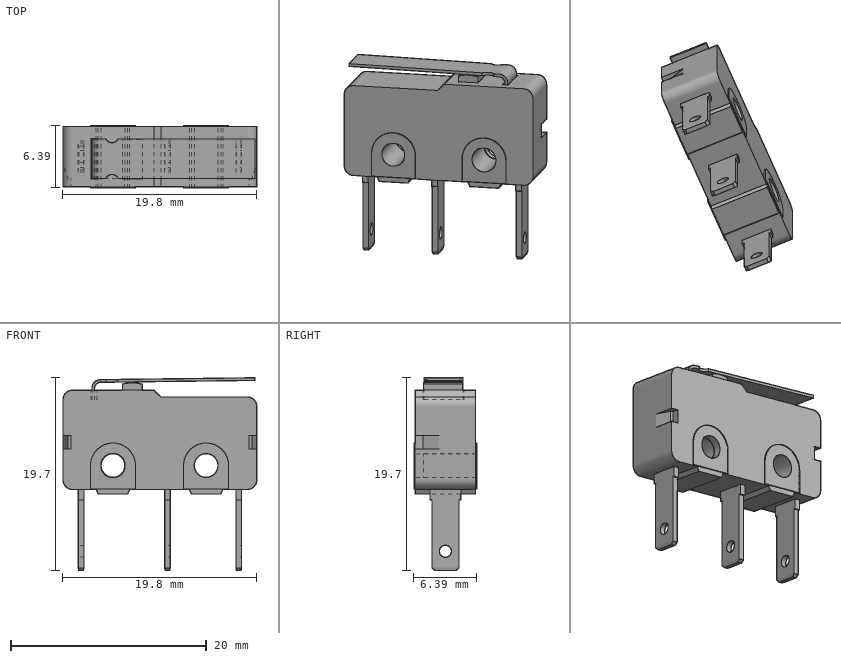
import cadquery as cq
import math


LENGTH = 19.8
WIDTH = 6.15
HEIGHT = 10.15
LOW_HEIGHT = 9.46
RAMP_START = -0.61
RAMP_END = 0.1
CORNER_RADIUS = 0.99
END_X = LENGTH / 2
FRONT_Y = -WIDTH / 2

HOLE_XS = (-4.8, 4.71)
HOLE_Z = 2.45
HOLE_DIAMETER = 2.4
RELIEF_DIAMETER = 2.5
RELIEF_DEPTH = 0.83
PAD_RADIUS = 2.3
PAD_HEIGHT = 0.12
PAD_BOTTOM = 0.05

FOOT_TOP_LENGTH = 3.43
FOOT_BOTTOM_LENGTH = 3.0
FOOT_HEIGHT = 0.48

NOTCH_BOTTOM = 4.14
NOTCH_TOP = 5.55
NOTCH_LENGTH = 0.83
NOTCH_LEDGE_DEPTH = 0.81
NOTCH_RAMP_LENGTH = 0.51
NOTCH_RAMP_DEPTH = 2.44

TERMINAL_XS = (-8.04, 0.77, 8.04)
TERMINAL_THICKNESS = 0.6
TERMINAL_WIDTH = 2.77
TERMINAL_DROP = 8.28
SHOULDER_WIDTH = 3.17
SHOULDER_DROP = 1.05
TIP_LENGTH = 0.3
TIP_SIDE_TAPER = 0.3
TIP_FACE_TAPER = 0.05
TERMINAL_HOLE_DIAMETER = 1.2
TERMINAL_HOLE_RISE = 1.98

LEVER_THICKNESS = 0.3
LEVER_WIDTH = 4.02
LEVER_Y = -0.2
LEVER_LEFT = -6.95
LEVER_RIGHT = 9.68
LEVER_TOP = 11.42
LEVER_TILT = math.radians(0.7)
BEND_OUTER_DIAMETER = 1.8
BEND_OUTER_RADIUS = BEND_OUTER_DIAMETER / 2
BEND_INNER_RADIUS = BEND_OUTER_RADIUS - LEVER_THICKNESS
WAIST_X = -4.9
WAIST_RADIUS = 0.67
WAIST_DEPTH = 0.4

SLOT_LEFT = -7.0
SLOT_RIGHT = -6.42
SLOT_SIDE_GAP = 0.05
SLOT_DEPTH = 0.99

PLUNGER_LEFT = -3.82
PLUNGER_RIGHT = -1.8
PLUNGER_FRONT = -2.25
PLUNGER_WIDTH = 4.0
PLUNGER_SIDE_TOP = 10.77
PLUNGER_CROWN = 10.9


def across(profile, width, center_y=0.0):
    """Extrude an XZ profile across the switch, centred on center_y."""
    return profile.extrude(width / 2, both=True).translate((0, center_y, 0))


def block():
    outline = (
        cq.Workplane("XZ")
        .moveTo(-END_X, 0)
        .lineTo(END_X, 0)
        .lineTo(END_X, LOW_HEIGHT)
        .lineTo(RAMP_END, LOW_HEIGHT)
        .lineTo(RAMP_START, HEIGHT)
        .lineTo(-END_X, HEIGHT)
        .close()
    )
    return across(outline, WIDTH).edges("|Y and (<X or >X)").fillet(CORNER_RADIUS)


def pad(x):
    """Arch-shaped pad that stands out on the front and the back."""
    outline = (
        cq.Workplane("XZ")
        .moveTo(x - PAD_RADIUS, PAD_BOTTOM)
        .lineTo(x + PAD_RADIUS, PAD_BOTTOM)
        .lineTo(x + PAD_RADIUS, HOLE_Z)
        .threePointArc((x, HOLE_Z + PAD_RADIUS), (x - PAD_RADIUS, HOLE_Z))
        .close()
    )
    return across(outline, WIDTH + 2 * PAD_HEIGHT)


def foot(x):
    outline = cq.Workplane("XZ").polyline([
        (x - FOOT_TOP_LENGTH / 2, 0),
        (x - FOOT_BOTTOM_LENGTH / 2, -FOOT_HEIGHT),
        (x + FOOT_BOTTOM_LENGTH / 2, -FOOT_HEIGHT),
        (x + FOOT_TOP_LENGTH / 2, 0),
    ]).close()
    return across(outline, WIDTH)


def mounting_hole(x):
    outline = cq.Workplane("XZ").center(x, HOLE_Z).circle(HOLE_DIAMETER / 2)
    return across(outline, WIDTH + 2 * PAD_HEIGHT)


def hole_relief(x):
    """Wider rear part of a mounting hole, open at the back."""
    start_y = FRONT_Y + RELIEF_DEPTH
    end_y = WIDTH / 2 + PAD_HEIGHT
    return (
        cq.Workplane("XZ", origin=(x, start_y, HOLE_Z))
        .circle(RELIEF_DIAMETER / 2)
        .extrude(start_y - end_y)
    )


def end_notch(side):
    """Notch with a ledge and a ramp; side is -1 for the left end and 1 for the right."""
    wall_x = side * (END_X - NOTCH_LENGTH)
    ramp_x = side * (END_X - NOTCH_RAMP_LENGTH)
    ledge_y = FRONT_Y + NOTCH_LEDGE_DEPTH
    return (
        cq.Workplane("XY", origin=(0, 0, NOTCH_BOTTOM))
        .polyline([
            (side * END_X, FRONT_Y),
            (wall_x, FRONT_Y),
            (wall_x, ledge_y),
            (ramp_x, ledge_y),
            (side * END_X, FRONT_Y + NOTCH_RAMP_DEPTH),
        ])
        .close()
        .extrude(NOTCH_TOP - NOTCH_BOTTOM)
    )


def terminal(x):
    root = cq.Workplane("XY", origin=(x, 0, 0))
    shoulder = root.rect(TERMINAL_THICKNESS, SHOULDER_WIDTH).extrude(-SHOULDER_DROP)
    blade_length = TERMINAL_DROP - TIP_LENGTH
    blade = root.rect(TERMINAL_THICKNESS, TERMINAL_WIDTH).extrude(-blade_length)
    tip = (
        cq.Workplane("XY", origin=(x, 0, -blade_length))
        .rect(TERMINAL_THICKNESS, TERMINAL_WIDTH)
        .workplane(offset=-TIP_LENGTH)
        .rect(TERMINAL_THICKNESS - 2 * TIP_FACE_TAPER, TERMINAL_WIDTH - 2 * TIP_SIDE_TAPER)
        .loft()
    )
    hole = (
        cq.Workplane("YZ", origin=(x, 0, TERMINAL_HOLE_RISE - TERMINAL_DROP))
        .circle(TERMINAL_HOLE_DIAMETER / 2)
        .extrude(TERMINAL_THICKNESS, both=True)
    )
    return shoulder.union(blade).union(tip).cut(hole)


def plunger():
    """Block with a slightly domed top, standing on the housing."""
    outline = (
        cq.Workplane("XZ")
        .moveTo(PLUNGER_LEFT, HEIGHT)
        .lineTo(PLUNGER_RIGHT, HEIGHT)
        .lineTo(PLUNGER_RIGHT, PLUNGER_SIDE_TOP)
        .threePointArc(
            ((PLUNGER_LEFT + PLUNGER_RIGHT) / 2, PLUNGER_CROWN),
            (PLUNGER_LEFT, PLUNGER_SIDE_TOP),
        )
        .close()
    )
    return across(outline, PLUNGER_WIDTH, PLUNGER_FRONT + PLUNGER_WIDTH / 2)


def lever_slot():
    outline = (
        cq.Workplane("XZ")
        .moveTo(SLOT_LEFT, HEIGHT)
        .lineTo(SLOT_RIGHT, HEIGHT)
        .lineTo(SLOT_RIGHT, HEIGHT - SLOT_DEPTH)
        .lineTo(SLOT_LEFT, HEIGHT - SLOT_DEPTH)
        .close()
    )
    return across(outline, LEVER_WIDTH + 2 * SLOT_SIDE_GAP, LEVER_Y)


def make_housing():
    """Switch housing with its terminals and plunger."""
    body = block()
    for x in HOLE_XS:
        body = body.union(pad(x)).union(foot(x))
    for x in HOLE_XS:
        body = body.cut(mounting_hole(x))
    body = body.cut(hole_relief(HOLE_XS[0]))
    for side in (-1, 1):
        body = body.cut(end_notch(side))
    for x in TERMINAL_XS:
        body = body.union(terminal(x))
    return body.union(plunger()).cut(lever_slot())


def lever_strip():
    """Bent strip whose leg stands on the floor of the slot."""
    leg_bottom = HEIGHT - SLOT_DEPTH
    bend_x = LEVER_LEFT + BEND_OUTER_RADIUS
    run = LEVER_RIGHT - bend_x
    bend_z = LEVER_TOP - run * math.tan(LEVER_TILT) - BEND_OUTER_RADIUS / math.cos(LEVER_TILT)
    arm_angle = math.pi / 2 + LEVER_TILT
    middle_angle = (math.pi + arm_angle) / 2

    def on_bend(radius, angle):
        return bend_x + radius * math.cos(angle), bend_z + radius * math.sin(angle)

    arm_bottom_end = LEVER_TOP - LEVER_THICKNESS / math.cos(LEVER_TILT)
    outline = (
        cq.Workplane("XZ")
        .moveTo(LEVER_LEFT, leg_bottom)
        .lineTo(*on_bend(BEND_OUTER_RADIUS, math.pi))
        .threePointArc(on_bend(BEND_OUTER_RADIUS, middle_angle), on_bend(BEND_OUTER_RADIUS, arm_angle))
        .lineTo(LEVER_RIGHT, LEVER_TOP)
        .lineTo(LEVER_RIGHT, arm_bottom_end)
        .lineTo(*on_bend(BEND_INNER_RADIUS, arm_angle))
        .threePointArc(on_bend(BEND_INNER_RADIUS, middle_angle), on_bend(BEND_INNER_RADIUS, math.pi))
        .lineTo(LEVER_LEFT + LEVER_THICKNESS, leg_bottom)
        .close()
    )
    return across(outline, LEVER_WIDTH, LEVER_Y)


def waist_cut(side):
    """Round bite out of one long edge of the arm; side is -1 at the front, 1 at the back."""
    center_offset = LEVER_WIDTH / 2 + WAIST_RADIUS - WAIST_DEPTH
    return (
        cq.Workplane("XY", origin=(WAIST_X, LEVER_Y + side * center_offset, HEIGHT))
        .circle(WAIST_RADIUS)
        .extrude(LEVER_TOP - HEIGHT)
    )


def make_lever():
    strip = lever_strip()
    for side in (-1, 1):
        strip = strip.cut(waist_cut(side))
    return strip


housing = make_housing()
lever = make_lever()

result = cq.Compound.makeCompound([housing.solids().val(), lever.solids().val()])